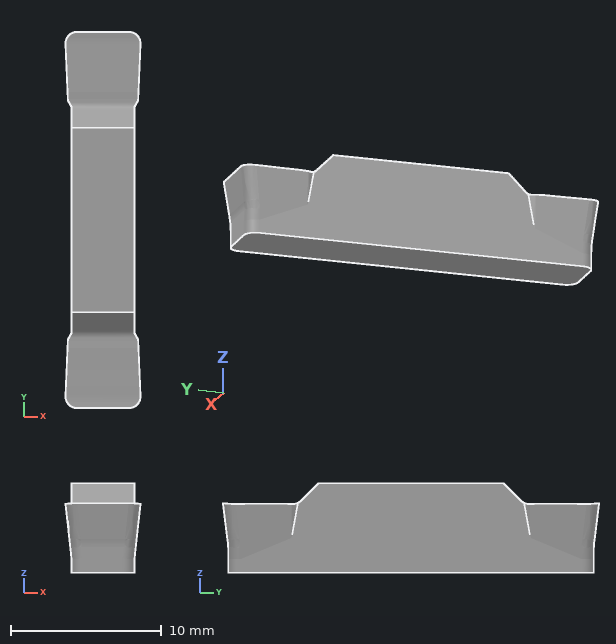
import cadquery as cq
import math

length = 25.0
cutting_width = 5.0
body_width = 4.2
height = 5.97

head_base_z = 0.91
front_bend_z = 1.73
front_flank_z = 2.25
floor_z = 4.59

front_clearance = math.radians(7.0)
bend_radius = 2.5
corner_radius = 0.8

land_length = 0.84
land_edge_angle = math.radians(7.0)
first_ramp_end = 1.51
flat_end = 2.5
second_ramp_end = 4.0
drop_end = 4.46
floor_rise_slope = math.tan(math.radians(0.5))

shoulder_top_setback = 6.36
shoulder_angle = math.radians(45.0)
shoulder_fillet_radius = 0.7

back_taper = math.radians(2.5)
head_side_length = 4.57
neck_angle = math.radians(30.0)
neck_depth = 0.8
neck_edge_radius = 0.2

slab_overhang = 1.0

half_length = length / 2
body_half_width = body_width / 2
cutting_half_width = cutting_width / 2

land_radius = land_length / math.sin(land_edge_angle)
tip_z = floor_z + land_radius * (1 - math.cos(land_edge_angle))

flank_end_y = half_length - (tip_z - front_flank_z) * math.tan(front_clearance)
bend_angle = math.asin((front_flank_z - front_bend_z) / bend_radius)
body_end_y = flank_end_y - bend_radius * (1 - math.cos(bend_angle))

widest_y = half_length - land_length
corner_start_y = body_end_y - corner_radius
base_half_width = body_half_width + (widest_y - corner_start_y) * math.tan(back_taper)
side_lean = (cutting_half_width - base_half_width) / (floor_z - head_base_z)
neck_corner_y = half_length - head_side_length

middle_flat_z = floor_z + (first_ramp_end - land_length) * floor_rise_slope
crest_z = middle_flat_z + (second_ramp_end - flat_end) * floor_rise_slope
shoulder_foot = shoulder_top_setback - (height - floor_z) / math.tan(shoulder_angle)
shoulder_fillet_start = shoulder_foot - shoulder_fillet_radius * math.tan(shoulder_angle / 2)


def build_body():
    """Plain bar with rounded vertical corners."""
    return (
        cq.Workplane("XY")
        .rect(body_width, 2 * body_end_y)
        .extrude(height)
        .edges("|Z")
        .fillet(corner_radius)
    )


def head_outline(z):
    """Plan outline of the +Y head at height z, with square front corners."""
    widest_half = cutting_half_width - (floor_z - z) * side_lean
    front_half = widest_half + land_length * math.tan(back_taper)
    neck_half = front_half - head_side_length * math.tan(back_taper)
    inner_half = neck_half - neck_depth
    inner_y = neck_corner_y - neck_depth / math.tan(neck_angle)
    right_side = [(inner_half, inner_y), (neck_half, neck_corner_y), (front_half, half_length)]
    left_side = [(-x, y) for x, y in reversed(right_side)]
    return right_side + left_side


def build_side_taper():
    """Head sides that narrow downward until they reach the body width."""
    return (
        cq.Workplane("XY", origin=(0, 0, head_base_z))
        .polyline(head_outline(head_base_z))
        .close()
        .workplane(offset=tip_z - head_base_z)
        .polyline(head_outline(tip_z))
        .close()
        .loft(ruled=True)
    )


def build_front_profile():
    """Slab whose +Y end is the clearance flank, the hollow bend and the upright base."""
    half_bend = bend_angle / 2
    bend_mid = (
        body_end_y + bend_radius * (1 - math.cos(half_bend)),
        front_bend_z + bend_radius * math.sin(half_bend),
    )
    return (
        cq.Workplane("YZ")
        .moveTo(0, 0)
        .lineTo(body_end_y, 0)
        .lineTo(body_end_y, front_bend_z)
        .threePointArc(bend_mid, (flank_end_y, front_flank_z))
        .lineTo(half_length, tip_z)
        .lineTo(0, tip_z)
        .close()
        .extrude(cutting_half_width + slab_overhang, both=True)
    )


def edges_between(y_start, y_end):
    """Selector for the head edges centred between two places along Y."""
    return cq.selectors.BoxSelector(
        (-cutting_width, y_start, head_base_z),
        (cutting_width, y_end, tip_z),
    )


def build_head():
    """Head at the +Y end, before its top is shaped."""
    head = build_side_taper().intersect(build_front_profile())
    neck_edges = edges_between(neck_corner_y - neck_edge_radius, neck_corner_y + neck_edge_radius)
    head = head.edges(neck_edges).edges("not #Z").fillet(neck_edge_radius)
    corner_edges = edges_between(corner_start_y, length)
    return head.edges(corner_edges).edges("not (|X or |Y or #Z)").fillet(corner_radius)


def build_top_profile():
    """Slab below the chipbreaker, the filleted shoulder and the body top, for y >= 0."""
    half_land = land_edge_angle / 2
    land_mid = (
        widest_y + land_radius * math.sin(half_land),
        floor_z + land_radius * (1 - math.cos(half_land)),
    )

    def fillet_point(angle):
        return (
            half_length - shoulder_fillet_start - shoulder_fillet_radius * math.sin(angle),
            floor_z + shoulder_fillet_radius * (1 - math.cos(angle)),
        )

    return (
        cq.Workplane("YZ")
        .moveTo(0, 0)
        .lineTo(half_length, 0)
        .lineTo(half_length, tip_z)
        .threePointArc(land_mid, (widest_y, floor_z))
        .lineTo(half_length - first_ramp_end, middle_flat_z)
        .lineTo(half_length - flat_end, middle_flat_z)
        .lineTo(half_length - second_ramp_end, crest_z)
        .lineTo(half_length - drop_end, floor_z)
        .lineTo(half_length - shoulder_fillet_start, floor_z)
        .threePointArc(fillet_point(shoulder_angle / 2), fillet_point(shoulder_angle))
        .lineTo(half_length - shoulder_top_setback, height)
        .lineTo(0, height)
        .close()
        .extrude(cutting_half_width + slab_overhang, both=True)
    )


head = build_head()
blank = build_body().union(head).union(head.mirror("XZ"))
top_profile = build_top_profile()
full_top_profile = top_profile.union(top_profile.mirror("XZ"))
result = blank.intersect(full_top_profile).clean()